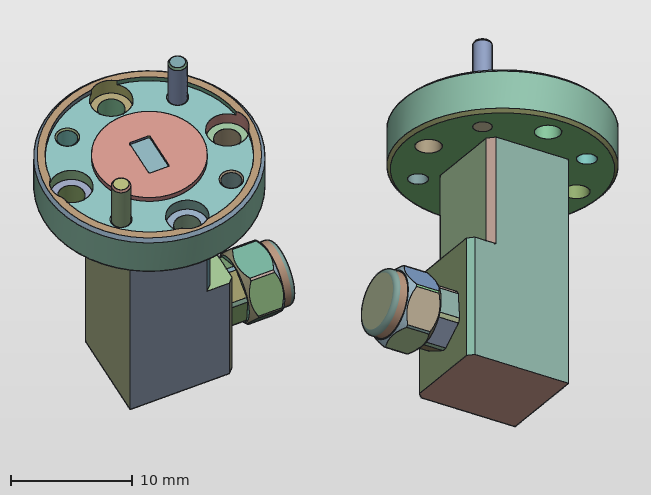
import cadquery as cq
import math

overall_depth = 21.6

flange_diameter = 19.05
flange_bottom = 21.28
flange_top = 25.38
flange_chamfer = 0.3
face_recess_diameter = 17.15
face_recess_depth = 0.47
boss_diameter = 9.55

pitch_radius = 7.15
screw_hole_diameter = 2.25
counterbore_diameter = 3.57
counterbore_depth = 1.58
dowel_hole_diameter = 1.73
dowel_hole_chamfer = 0.15

pin_diameter = 1.6
pin_top = 29.27
pin_tip_length = 0.2
pin_tip_setback = 0.15
pin_hole_chamfer = 0.102

window_length = 3.75
window_width = 1.87
window_corner_radius = 0.15
window_depth = 0.23

column_width = 8.4
column_depth = 7.6
column_edge_chamfer = 0.6
foot_back = 5.77
foot_height = 11.15
foot_edge_chamfer = 0.5

connector_height = 5.05
connector_turn = -5.0
stem_corner_diameter = 5.62
stem_across_flats = 5.05
hex_sides = 6
nut_front = 7.73
nut_back = 10.95
nut_corner_diameter = 6.97
nut_across_flats = 6.15
nut_front_chamfer = 0.55
nut_back_chamfer = 0.5
collar_diameter = 5.77
collar_fillet = 0.45

flange_floor = flange_top - face_recess_depth
collar_back = overall_depth - flange_diameter / 2
pin_angles = [135, 315]
dowel_hole_angles = [45, 225]
screw_hole_angles = [0, 90, 180, 270]


def disc(diameter, bottom, top):
    """Upright cylinder on the flange axis."""
    return cq.Workplane("XY").workplane(offset=bottom).circle(diameter / 2).extrude(top - bottom)


def on_pitch_circle(shape, angle):
    """Copy of a shape modelled on the Z axis, moved out to the pitch circle."""
    return shape.translate((pitch_radius, 0, 0)).rotate((0, 0, 0), (0, 0, 1), angle)


def chamfered_hole(diameter, chamfer):
    """Cutter for a through hole with a countersunk mouth in the recessed face."""
    radius = diameter / 2
    countersink = cq.Solid.makeCone(
        radius, radius + chamfer, chamfer, pnt=cq.Vector(0, 0, flange_floor - chamfer)
    )
    return disc(diameter, flange_bottom, flange_floor).union(cq.Workplane(obj=countersink))


def make_flange():
    flange = disc(flange_diameter, flange_bottom, flange_top).edges().chamfer(flange_chamfer)
    face_recess = disc(face_recess_diameter, flange_floor, flange_top)
    flange = flange.cut(face_recess.cut(disc(boss_diameter, flange_floor, flange_top)))

    screw_hole = disc(screw_hole_diameter, flange_bottom, flange_top).union(
        disc(counterbore_diameter, flange_top - counterbore_depth, flange_top)
    )
    dowel_hole = chamfered_hole(dowel_hole_diameter, dowel_hole_chamfer)
    pin_hole = chamfered_hole(pin_diameter, pin_hole_chamfer)
    for cutter, angles in (
        (screw_hole, screw_hole_angles),
        (dowel_hole, dowel_hole_angles),
        (pin_hole, pin_angles),
    ):
        for angle in angles:
            flange = flange.cut(on_pitch_circle(cutter, angle))

    window = (
        cq.Workplane("XY")
        .workplane(offset=flange_top - window_depth)
        .rect(window_length, window_width)
        .extrude(window_depth)
        .edges("|Z")
        .fillet(window_corner_radius)
    )
    return flange.cut(window)


def make_block(front, back, height, edge_chamfer):
    """Block standing on Z = 0 with its two vertical +Y edges chamfered."""
    return (
        cq.Workplane("XY")
        .center(0, (front + back) / 2)
        .rect(column_width, back - front)
        .extrude(height)
        .edges("|Z and >Y")
        .chamfer(edge_chamfer)
    )


def make_column():
    half_depth = column_depth / 2
    column = make_block(-half_depth, half_depth, flange_bottom, column_edge_chamfer)
    foot = make_block(-half_depth, foot_back, foot_height, foot_edge_chamfer)
    return column.union(foot)


def connector_cylinder(diameter, front, back):
    """Cylinder on the connector axis between two Y positions."""
    plane = cq.Plane(origin=(0, front, connector_height), xDir=(1, 0, 0), normal=(0, 1, 0))
    return cq.Workplane(plane).circle(diameter / 2).extrude(back - front)


def connector_hexagon(across_flats, turn, front, back):
    """Hexagonal prism on the connector axis; turn 0 points a corner along X."""
    plane = cq.Plane(origin=(0, front, connector_height), xDir=(1, 0, 0), normal=(0, 1, 0))
    sharp_corner_diameter = across_flats / math.cos(math.pi / hex_sides)
    prism = cq.Workplane(plane).polygon(hex_sides, sharp_corner_diameter).extrude(back - front)
    return prism.rotate((0, 0, connector_height), (0, -1, connector_height), turn)


def make_connector():
    stem = connector_hexagon(stem_across_flats, connector_turn + 180 / hex_sides, foot_back, nut_front)
    stem = stem.intersect(connector_cylinder(stem_corner_diameter, foot_back, nut_front))

    nut = connector_hexagon(nut_across_flats, connector_turn, nut_front, nut_back)
    nut_envelope = connector_cylinder(nut_corner_diameter, nut_front, nut_back)
    nut_envelope = nut_envelope.faces("<Y").chamfer(nut_front_chamfer)
    nut_envelope = nut_envelope.faces(">Y").chamfer(nut_back_chamfer)
    nut = nut.intersect(nut_envelope)

    collar = connector_cylinder(collar_diameter, nut_back, collar_back)
    collar = collar.faces(">Y").edges().fillet(collar_fillet)
    return stem.union(nut).union(collar)


def make_housing():
    return make_column().union(make_flange()).union(make_connector())


def make_pin(angle):
    pin = disc(pin_diameter, flange_bottom, pin_top)
    pin = pin.faces(">Z").chamfer(pin_tip_length, pin_tip_setback)
    return on_pitch_circle(pin, angle)


housing = make_housing()
pins = [make_pin(angle) for angle in pin_angles]

result = cq.Compound.makeCompound([housing.val(), *[pin.val() for pin in pins]])